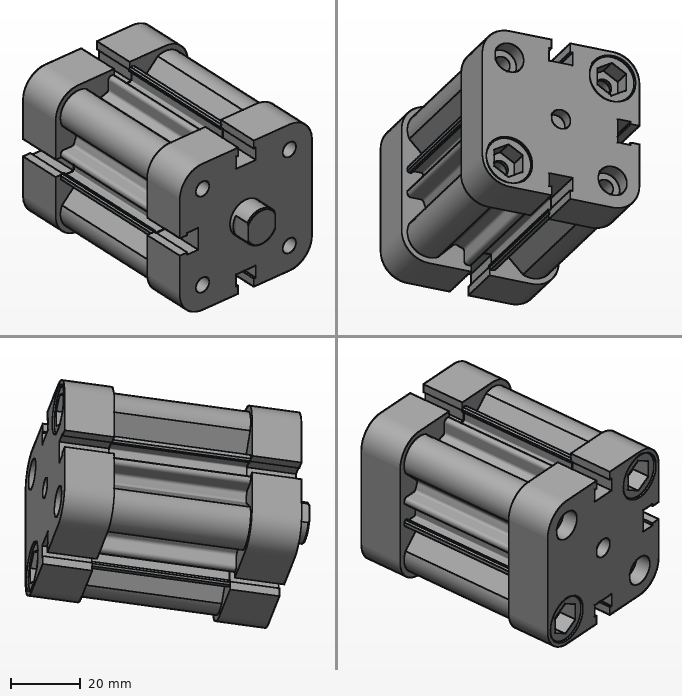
import cadquery as cq
import math

TOTAL_LENGTH = 76.5
HOUSING_LENGTH = 69.55
SIDE = 49.5
CAP_LENGTH = 14.5
BOLT_PITCH = 32.5

HALF_SIDE = SIDE / 2
BOLT_OFFSET = BOLT_PITCH / 2
CAP_CORNER_RADIUS = HALF_SIDE - BOLT_OFFSET
BARREL_LENGTH = HOUSING_LENGTH - 2 * CAP_LENGTH

CORE_RADIUS = 18.75
LOBE_RADIUS = 6.7
LOBE_WIDTH = 12.6
LOBE_ROOT_FILLET = 1.15
LOBE_ANGLE = 45
RAIL_WIDTH = 10.1
RAIL_TOP = 22.95
RAIL_ROUND = 1.15
RAIL_ROOT_FILLET = 1.0

SLOT_WIDTH = 5.35
SLOT_POCKET_WIDTH = 6.9
SLOT_FLOOR = 18.1
SLOT_LIP_BOTTOM = 21.7
SLOT_LIP_CHAMFER = 0.5
SLOT_FLOOR_FILLET = 0.4
CAP_SLOT_CLEARANCE = 0.25
BARREL_SIDE_ANGLES = (0, 90, 180, 270)
CAP_SLOT_ANGLES = (0, 90, 180)

BOLT_HOLE_DIAMETER = 5.0
COUNTERBORE_DIAMETER = 9.0
COUNTERBORE_DEPTH = 5.0
CENTRE_HOLE_DIAMETER = 6.0
CENTRE_HOLE_DEPTH = 3.8

HEAD_DIAMETER = 14.0
HEAD_LENGTH = 6.9
HEAD_SINK = 0.5
HEAD_CLEARANCE = 0.25
HEX_ACROSS_FLATS = 9.0
HEX_DEPTH = 5.7
RECESS_DIAMETER = HEAD_DIAMETER + 2 * HEAD_CLEARANCE
RECESS_DEPTH = HEAD_SINK + HEAD_LENGTH

ROD_DIAMETER = 12.0
ROD_ACROSS_FLATS = 10.0
ROD_FLAT_LENGTH = 5.5
ROD_FLAT_FILLET = 0.3
ROD_TIP_CHAMFER = 0.4

MATCH_TOLERANCE = 0.01

SCREW_CORNERS = [(BOLT_OFFSET, -BOLT_OFFSET), (-BOLT_OFFSET, BOLT_OFFSET)]
OPEN_CORNERS = [(BOLT_OFFSET, BOLT_OFFSET), (-BOLT_OFFSET, -BOLT_OFFSET)]


def section(x):
    """Cross-section plane at x; its local axes are Y and Z."""
    return cq.Workplane("YZ", origin=(x, 0, 0))


def about_axis(solid, angle):
    return solid.rotate((0, 0, 0), (1, 0, 0), angle)


def slot_cutter(x, length, clearance, floor_fillet):
    """T-slot that opens towards +Z."""
    height = SIDE
    floor = SLOT_FLOOR - clearance
    pocket_height = SLOT_LIP_BOTTOM + clearance - floor
    mouth = section(x).rect(SLOT_WIDTH + 2 * clearance, height).extrude(length)
    mouth = mouth.translate((0, 0, floor + height / 2))
    pocket = section(x).rect(SLOT_POCKET_WIDTH + 2 * clearance, pocket_height).extrude(length)
    pocket = pocket.translate((0, 0, floor + pocket_height / 2))
    if floor_fillet > 0:
        pocket = pocket.edges("|X and <Z").fillet(floor_fillet)
    return mouth.union(pocket)


def make_lobe():
    """Diagonal arm with an arc tip centred on the bolt axis, built along +Z."""
    centre = BOLT_OFFSET * math.sqrt(2)
    half_width = LOBE_WIDTH / 2
    shoulder = centre + math.sqrt(LOBE_RADIUS**2 - half_width**2)
    return (
        section(CAP_LENGTH)
        .moveTo(-half_width, 0)
        .lineTo(-half_width, shoulder)
        .threePointArc((0, centre + LOBE_RADIUS), (half_width, shoulder))
        .lineTo(half_width, 0)
        .close()
        .extrude(BARREL_LENGTH)
    )


def make_rail():
    """Straight rail on the +Z side that carries the sensor slot."""
    rail = section(CAP_LENGTH).center(0, RAIL_TOP / 2).rect(RAIL_WIDTH, RAIL_TOP).extrude(BARREL_LENGTH)
    return rail.edges("|X and >Z").fillet(RAIL_ROUND)


def is_root(edge, on_rail):
    """True for an inner corner where a rail or a lobe leaves the round core."""
    middle = edge.Center()
    on_core = abs(math.hypot(middle.y, middle.z) - CORE_RADIUS) < MATCH_TOLERANCE
    beside_rail = abs(min(abs(middle.y), abs(middle.z)) - RAIL_WIDTH / 2) < MATCH_TOLERANCE
    return on_core and beside_rail == on_rail


def make_barrel():
    """Round core with four diagonal lobes and a slotted rail on each side."""
    barrel = section(CAP_LENGTH).circle(CORE_RADIUS).extrude(BARREL_LENGTH)
    for angle in BARREL_SIDE_ANGLES:
        barrel = barrel.union(about_axis(make_rail(), angle))
        barrel = barrel.union(about_axis(make_lobe(), angle + LOBE_ANGLE))
    barrel = barrel.edges("|X").filter(lambda edge: is_root(edge, True)).fillet(RAIL_ROOT_FILLET)
    barrel = barrel.edges("|X").filter(lambda edge: is_root(edge, False)).fillet(LOBE_ROOT_FILLET)

    slot = slot_cutter(CAP_LENGTH, BARREL_LENGTH, 0, SLOT_FLOOR_FILLET)
    half_mouth = SLOT_WIDTH / 2
    lip_chamfer = (
        section(CAP_LENGTH)
        .moveTo(0, RAIL_TOP - SLOT_LIP_CHAMFER - half_mouth)
        .lineTo(half_mouth + SLOT_LIP_CHAMFER, RAIL_TOP)
        .lineTo(-half_mouth - SLOT_LIP_CHAMFER, RAIL_TOP)
        .close()
        .extrude(BARREL_LENGTH)
    )
    slot = slot.union(lip_chamfer)
    for angle in BARREL_SIDE_ANGLES:
        barrel = barrel.cut(about_axis(slot, angle))
    return barrel


def make_cap(x):
    """Square end cap whose slots line up with the barrel slots."""
    cap = section(x).rect(SIDE, SIDE).extrude(CAP_LENGTH).edges("|X").fillet(CAP_CORNER_RADIUS)
    slot = slot_cutter(x, CAP_LENGTH, CAP_SLOT_CLEARANCE, 0)
    for angle in CAP_SLOT_ANGLES:
        cap = cap.cut(about_axis(slot, angle))
    return cap


def make_housing():
    """Two square caps joined by the profiled barrel, with all bores."""
    housing = make_barrel().union(make_cap(0)).union(make_cap(HOUSING_LENGTH - CAP_LENGTH))
    all_corners = SCREW_CORNERS + OPEN_CORNERS
    bolt_holes = section(0).pushPoints(all_corners).circle(BOLT_HOLE_DIAMETER / 2).extrude(HOUSING_LENGTH)
    head_recesses = section(0).pushPoints(SCREW_CORNERS).circle(RECESS_DIAMETER / 2).extrude(RECESS_DEPTH)
    counterbore_circles = section(0).pushPoints(OPEN_CORNERS).circle(COUNTERBORE_DIAMETER / 2)
    counterbores = counterbore_circles.extrude(COUNTERBORE_DEPTH)
    centre_hole = section(0).circle(CENTRE_HOLE_DIAMETER / 2).extrude(CENTRE_HOLE_DEPTH)
    rod_bore = section(HOUSING_LENGTH - CAP_LENGTH).circle(ROD_DIAMETER / 2).extrude(CAP_LENGTH)
    for cutter in (bolt_holes, head_recesses, counterbores, centre_hole, rod_bore):
        housing = housing.cut(cutter)
    return housing


def make_screw(y, z):
    """Hollow screw head with a hexagon socket, sunk just below the rear face."""
    screw = section(HEAD_SINK).circle(HEAD_DIAMETER / 2).circle(BOLT_HOLE_DIAMETER / 2).extrude(HEAD_LENGTH)
    socket = section(HEAD_SINK).polygon(6, HEX_ACROSS_FLATS, circumscribed=True).extrude(HEX_DEPTH)
    return screw.cut(socket).translate((0, y, z))


def make_rod():
    """Round rod filling the front cap bore, with two wrench flats facing +Y and -Y."""
    start = HOUSING_LENGTH - CAP_LENGTH
    rod = section(start).circle(ROD_DIAMETER / 2).extrude(TOTAL_LENGTH - start)
    rod = rod.faces(">X").chamfer(ROD_TIP_CHAMFER)
    flat_middle = TOTAL_LENGTH - ROD_FLAT_LENGTH / 2
    for side in (1, -1):
        flat_cut = (
            cq.Workplane("XY")
            .box(ROD_FLAT_LENGTH, ROD_DIAMETER, ROD_DIAMETER)
            .translate((flat_middle, side * (ROD_ACROSS_FLATS + ROD_DIAMETER) / 2, 0))
        )
        inner_edge = "<X and <Y" if side > 0 else "<X and >Y"
        rod = rod.cut(flat_cut.edges(f"|Z and {inner_edge}").fillet(ROD_FLAT_FILLET))
    return rod


housing = make_housing()
screws = [make_screw(y, z) for y, z in SCREW_CORNERS]
rod = make_rod()

result = cq.Compound.makeCompound([housing.val(), *[screw.val() for screw in screws], rod.val()])